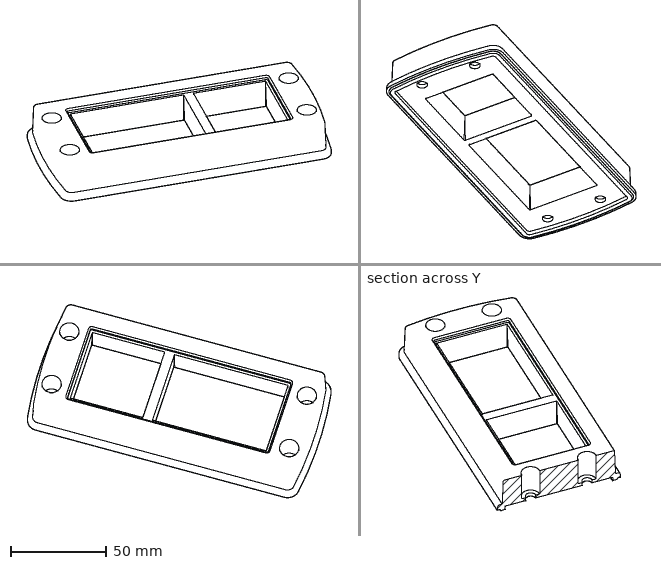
import cadquery as cq
import math

length = 152.5
width = 70.0
end_bow_radius = 205.9
corner_radius = 6.3
flange_height = 4.5
flange_round = 1.8

foot_height = 0.9
foot_inset = 1.4
foot_chamfer = 0.8

underside_rim = 4.5
underside_depth = 2.3

total_height = 20.6
body_inset = 2.7
body_draft = 2.0
body_top_round = 0.9

window_width = 42.7
window_length = 109.8
window_depth = 2.1
window_corner_radius = 0.9
window_rim_chamfer = 0.9
opening_ledge = 1.4
opening_straight_depth = 1.4
opening_draft = 2.0
opening_drafted_depth = total_height - window_depth - opening_straight_depth
bar_center_y = 11.3
bar_thickness = 5.3

screw_spacing_x = 32.0
screw_spacing_y = 130.0
screw_diameter = 5.5
counterbore_diameter = 10.0
counterbore_depth = total_height - flange_height


def rounded_outline(inset, z):
    """Closed outline at height z, offset inward from the flange edge by inset."""
    half_width = width / 2 - inset
    end_y = length / 2 - inset
    bow_radius = end_bow_radius - inset
    side_y = end_y - bow_radius + math.sqrt(bow_radius**2 - half_width**2)
    sharp = (
        cq.Workplane("XY")
        .workplane(offset=z)
        .moveTo(-half_width, -side_y)
        .threePointArc((0, -end_y), (half_width, -side_y))
        .lineTo(half_width, side_y)
        .threePointArc((0, end_y), (-half_width, side_y))
        .close()
        .val()
    )
    return sharp.fillet2D(corner_radius - inset, sharp.Vertices())


def prism(inset, z, height, draft=0):
    """Upright prism of the rounded outline, narrowing upward by the draft angle."""
    outline = rounded_outline(inset, z)
    return cq.Workplane("XY").add(outline).toPending().extrude(height, taper=draft)


def make_flange():
    foot = prism(foot_inset, 0, foot_height).faces("<Z").edges().chamfer(foot_chamfer)
    flange = prism(0, foot_height, flange_height - foot_height)
    return foot.union(flange.faces(">Z").edges().fillet(flange_round))


def make_body():
    """Drafted block with a rounded top edge and the chamfered window recess."""
    block = prism(body_inset, flange_height, total_height - flange_height, body_draft)
    recess = (
        cq.Workplane("XY")
        .workplane(offset=total_height - window_depth)
        .rect(window_width, window_length)
        .extrude(window_depth)
        .edges("|Z")
        .fillet(window_corner_radius)
    )
    block = block.faces(">Z").edges().fillet(body_top_round).cut(recess)
    return block.faces(">Z").wires(cq.selectors.AreaNthSelector(0)).chamfer(window_rim_chamfer)


def cut_openings(part):
    opening_width = window_width - 2 * opening_ledge
    opening_end = window_length / 2 - opening_ledge
    bar_bottom = bar_center_y - bar_thickness / 2
    bar_top = bar_center_y + bar_thickness / 2
    for y_low, y_high in ((-opening_end, bar_bottom), (bar_top, opening_end)):
        opening = (
            cq.Workplane("XY")
            .workplane(offset=total_height - window_depth)
            .center(0, (y_low + y_high) / 2)
            .rect(opening_width, y_high - y_low)
        )
        part = part.cut(opening.extrude(-opening_straight_depth))
        drafted = (
            opening.workplane(offset=-opening_straight_depth)
            .rect(opening_width, y_high - y_low)
            .extrude(-opening_drafted_depth, taper=-opening_draft)
        )
        part = part.cut(drafted)
    return part


def hollow_underside(part):
    """Shallow recess in the bottom face, surrounded by a narrow rim."""
    return part.cut(prism(underside_rim, 0, underside_depth))


def drill_screw_holes(part):
    return (
        part.faces(">Z")
        .workplane(origin=(0, 0, total_height))
        .rarray(screw_spacing_x, screw_spacing_y, 2, 2)
        .cboreHole(screw_diameter, counterbore_diameter, counterbore_depth)
    )


result = hollow_underside(drill_screw_holes(cut_openings(make_flange().union(make_body()))))